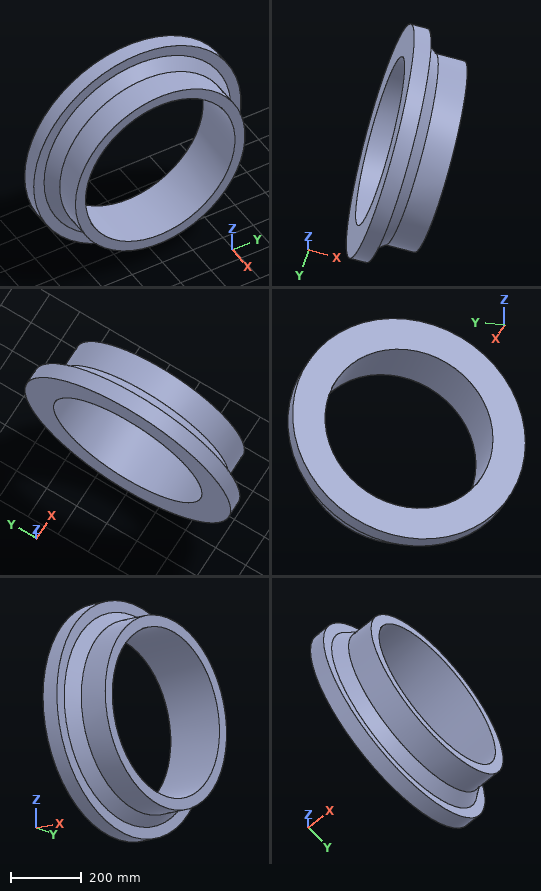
import cadquery as cq

flange_diameter = 685.0
hub_diameter = 560.0
bore_diameter = 493.0
shoulder_diameter = 616.5

total_length = 175.0
flange_thickness = 50.0
shoulder_length = 39.0

flange_radius = flange_diameter / 2
hub_radius = hub_diameter / 2
bore_radius = bore_diameter / 2
shoulder_radius = shoulder_diameter / 2
shoulder_end = flange_thickness + shoulder_length

half_section = (
    cq.Workplane("XY")
    .moveTo(0, -bore_radius)
    .lineTo(0, -flange_radius)
    .lineTo(flange_thickness, -flange_radius)
    .lineTo(flange_thickness, -shoulder_radius)
    .lineTo(shoulder_end, -hub_radius)
    .lineTo(total_length, -hub_radius)
    .lineTo(total_length, -bore_radius)
    .close()
)

result = half_section.revolve(360, (0, 0, 0), (1, 0, 0))